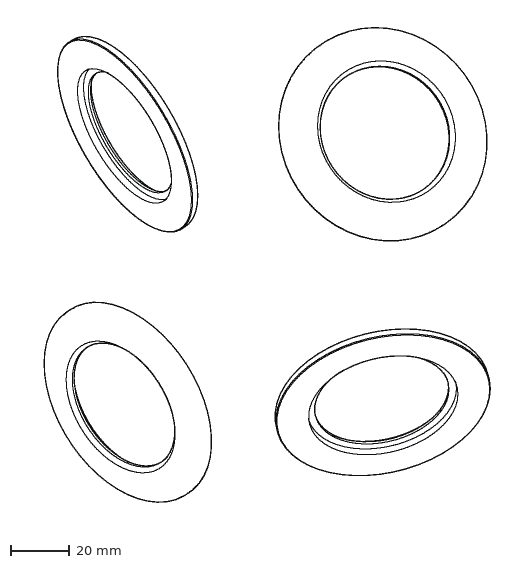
import cadquery as cq
import math

outer_radius = 37.5
thickness = 5.1
bore_radius = 23.5
recess_radius = 26.1
recess_depth = 2.6
front_chamfer = 0.3
back_chamfer = 1.5
rim_height = 1.9
shoulder_radius = 1.4
cone_angle = math.radians(16)


def shoulder_point(angle):
    """Point on the shoulder arc, with the angle measured from the radial direction."""
    center_radius = outer_radius - shoulder_radius
    return (
        center_radius + shoulder_radius * math.cos(angle),
        rim_height + shoulder_radius * math.sin(angle),
    )


shoulder_sweep = math.pi / 2 - cone_angle
cone_start_radius, cone_start_height = shoulder_point(shoulder_sweep)

crown_radius = cone_start_radius - (thickness - cone_start_height) / math.tan(cone_angle)

profile = (
    cq.Workplane("XY")
    .moveTo(recess_radius, 0)
    .lineTo(outer_radius - front_chamfer, 0)
    .lineTo(outer_radius, front_chamfer)
    .lineTo(outer_radius, rim_height)
    .threePointArc(shoulder_point(shoulder_sweep / 2), (cone_start_radius, cone_start_height))
    .lineTo(crown_radius, thickness)
    .lineTo(bore_radius + back_chamfer, thickness)
    .lineTo(bore_radius, thickness - back_chamfer)
    .lineTo(bore_radius, recess_depth)
    .lineTo(recess_radius, recess_depth)
    .close()
)

result = profile.revolve(360, (0, 0, 0), (0, 1, 0))